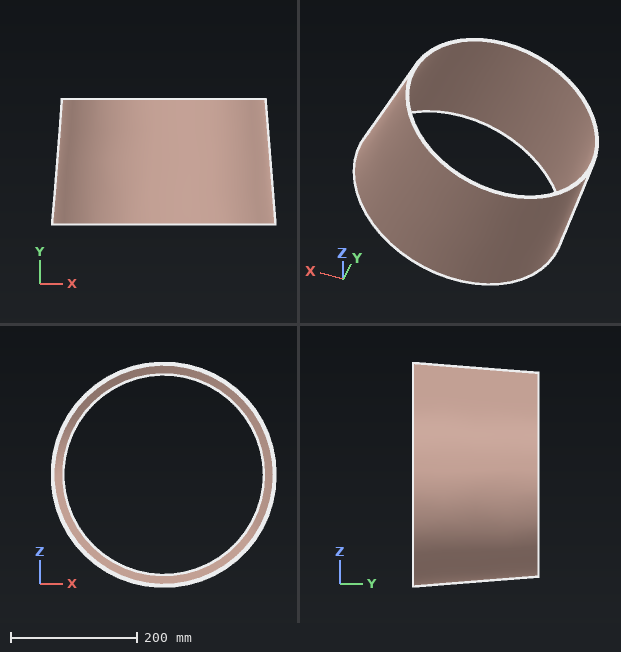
import cadquery as cq

large_diameter = 355.5
small_diameter = 324.0
length = 200.0
wall = 3.0

large_radius = large_diameter / 2
small_radius = small_diameter / 2

wall_section = (
    cq.Workplane("XY")
    .moveTo(large_radius - wall, 0)
    .lineTo(large_radius, 0)
    .lineTo(small_radius, length)
    .lineTo(small_radius - wall, length)
    .close()
)

result = wall_section.revolve(360, (0, 0, 0), (0, 1, 0))